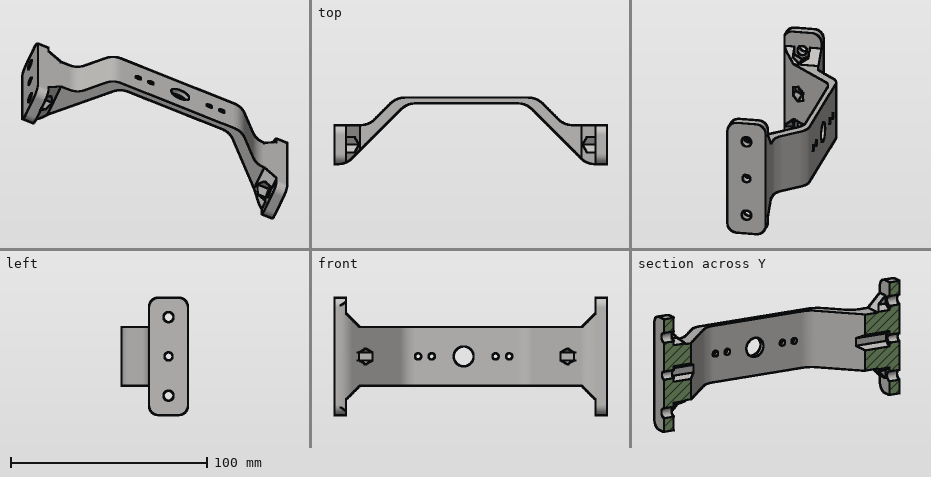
import cadquery as cq
import math

LENGTH = 139.0
DEPTH = 34.0
HEIGHT = 60.0

FLANGE_THICKNESS = 6.0
FLANGE_DEPTH = 20.0
FLANGE_CORNER_RADIUS = 5.0

STRAP_HEIGHT = 30.0
PLATE_THICKNESS = 3.0
ARM_THICKNESS = 6.0
BEND_RADIUS = 10.0
LEFT_ARM_FOOT = 6.0
RIGHT_ARM_FOOT = 10.3
GUSSET_SIZE = 7.0

CENTER_HOLE_X = 65.9
CENTER_HOLE_DIAMETER = 10.0
SMALL_HOLE_DIAMETER = 3.0
SMALL_HOLE_OFFSETS = (16.3, 23.2)

BOLT_Y = FLANGE_DEPTH / 2
OUTER_BOLT_Z = 20.0
OUTER_BOLT_DIAMETER = 5.0
OUTER_NUT_FLATS = 8.0
MIDDLE_BOLT_DIAMETER = 4.0
MIDDLE_NUT_FLATS = 7.0


def make_strap():
    """Bent profile in XY, extruded to the full flange height."""
    inner_y = DEPTH - PLATE_THICKNESS
    arm_width = ARM_THICKNESS * math.sqrt(2)
    left_outer_shift = LEFT_ARM_FOOT - arm_width
    right_outer_shift = RIGHT_ARM_FOOT - arm_width
    corners = [
        (0, 0),
        (LEFT_ARM_FOOT, 0),
        (LEFT_ARM_FOOT + inner_y, inner_y),
        (LENGTH - RIGHT_ARM_FOOT - inner_y, inner_y),
        (LENGTH - RIGHT_ARM_FOOT, 0),
        (LENGTH, 0),
        (LENGTH, FLANGE_DEPTH),
        (LENGTH - right_outer_shift - FLANGE_DEPTH, FLANGE_DEPTH),
        (LENGTH - right_outer_shift - DEPTH, DEPTH),
        (left_outer_shift + DEPTH, DEPTH),
        (left_outer_shift + FLANGE_DEPTH, FLANGE_DEPTH),
        (0, FLANGE_DEPTH),
    ]
    profile = cq.Workplane("XY").polyline(corners).close().extrude(HEIGHT / 2, both=True)
    between_ends = cq.selectors.BoxSelector(
        (LEFT_ARM_FOOT / 2, -DEPTH, -HEIGHT),
        (LENGTH - RIGHT_ARM_FOOT / 2, 2 * DEPTH, HEIGHT),
    )
    return profile.edges("|Z").edges(between_ends).fillet(BEND_RADIUS)


def make_flange_envelope(x_start):
    return (
        cq.Workplane("XY")
        .box(FLANGE_THICKNESS, FLANGE_DEPTH, HEIGHT, centered=(False, False, True))
        .edges("|X")
        .fillet(FLANGE_CORNER_RADIUS)
        .translate((x_start, 0, 0))
    )


def make_strap_envelope():
    """Outline in XZ: the strap band widening into 45 degree gussets at the flanges."""
    band = STRAP_HEIGHT / 2
    wide = band + GUSSET_SIZE
    left = FLANGE_THICKNESS
    right = LENGTH - FLANGE_THICKNESS
    outline = [
        (left, -wide),
        (left + GUSSET_SIZE, -band),
        (right - GUSSET_SIZE, -band),
        (right, -wide),
        (right, wide),
        (right - GUSSET_SIZE, band),
        (left + GUSSET_SIZE, band),
        (left, wide),
    ]
    return cq.Workplane("XZ").polyline(outline).close().extrude(-DEPTH)


def make_plate_holes():
    """Cutters through the middle plate along Y."""
    offsets = [side * offset for side in (-1, 1) for offset in SMALL_HOLE_OFFSETS]
    center = cq.Workplane("XZ").center(CENTER_HOLE_X, 0)
    small_holes = center.pushPoints([(x, 0) for x in offsets]).circle(SMALL_HOLE_DIAMETER / 2).extrude(-DEPTH)
    return center.circle(CENTER_HOLE_DIAMETER / 2).extrude(-DEPTH).union(small_holes)


def make_bolt_cutter(z, hole_diameter, nut_flats):
    """Bolt holes through both flanges, with hexagonal nut pockets running between their inner faces."""
    hole = cq.Workplane("YZ").center(BOLT_Y, z).circle(hole_diameter / 2).extrude(LENGTH)
    corner_radius = nut_flats / math.sqrt(3)
    hexagon = [
        (corner_radius * math.sin(math.radians(angle)), corner_radius * math.cos(math.radians(angle)))
        for angle in range(0, 360, 60)
    ]
    pocket = (
        cq.Workplane("YZ", origin=(FLANGE_THICKNESS, BOLT_Y, z))
        .polyline(hexagon)
        .close()
        .extrude(LENGTH - 2 * FLANGE_THICKNESS)
    )
    return hole.union(pocket)


envelope = (
    make_strap_envelope()
    .union(make_flange_envelope(0))
    .union(make_flange_envelope(LENGTH - FLANGE_THICKNESS))
)
result = make_strap().intersect(envelope).cut(make_plate_holes())
result = result.cut(make_bolt_cutter(0, MIDDLE_BOLT_DIAMETER, MIDDLE_NUT_FLATS))
for bolt_z in (-OUTER_BOLT_Z, OUTER_BOLT_Z):
    result = result.cut(make_bolt_cutter(bolt_z, OUTER_BOLT_DIAMETER, OUTER_NUT_FLATS))